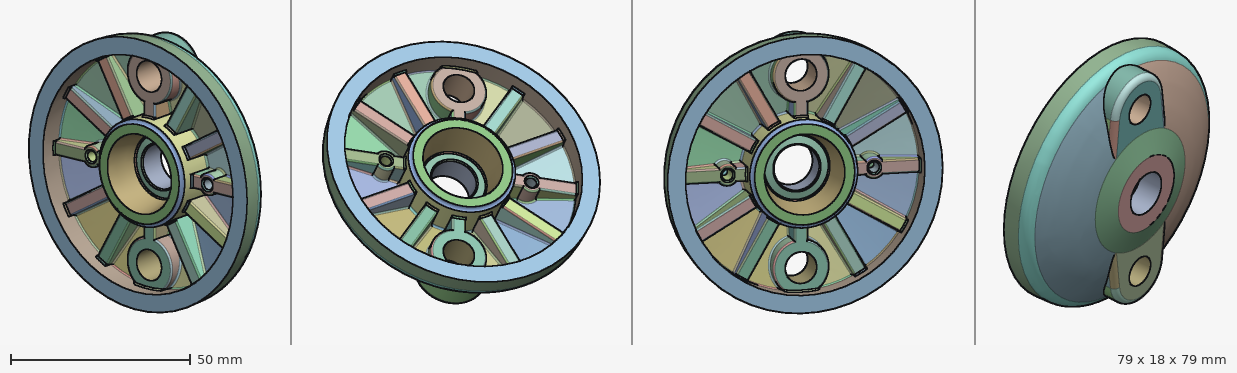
import cadquery as cq
import math


rim_radius = 39.5
rim_height = 5.1
rim_draft = math.radians(3)
shoulder_radius = 36.5
shoulder_height = 8.85
shoulder_bulge = (38.5, 7.35)
dome_bulge = (27.5, 13.3)
cone_radius = 18.9
boss_top = 15.7
crown_radius = 11.8
height = 18.0

recess_radius = 34.4
floor_edge_height = 7.1
floor_hub_height = 12.1

hub_radius = 15.5
hub_face = 0.6
hub_rounding = 1.1
bore_mouth_radius = 11.5
bore_end_radius = 9.55
bore_end = 10.0
bore_corner = 0.4
seat_rise = 0.7
hole_radius = 6.5
hole_lip = 0.4

boss_offset = 27.5
boss_radius = 10.5
boss_flare = math.radians(6)
boss_inner_offset = 9.5
boss_rounding = 1.8
mount_hole_radius = 4.5
mount_ring_radius = 8.05

rib_face = 4.9
rib_width = 4.0
rib_angle_step = 30
small_rounding = 0.5
post_offset = 21.0
post_radius = 3.15
pilot_mouth_radius = 1.6
pilot_end_radius = 1.0
pilot_depth = 4.75
pilot_chamfer = 0.5

floor_slope = (floor_hub_height - floor_edge_height) / (recess_radius - hub_radius)
sides = (1, -1)
tolerance = 0.01


def floor_height(radius):
    """Height of the conical recess floor at a given radius."""
    return floor_edge_height + floor_slope * (recess_radius - radius)


def turned(profile):
    """Revolve a (radius, y) profile about the Y axis."""
    return profile.close().revolve(360, (0, 0), (0, 1))


def cylinder(radius, y_start, y_end, x=0, z=0):
    """Cylinder along Y."""
    return cq.Workplane("XZ", origin=(x, y_start, z)).circle(radius).extrude(y_start - y_end)


def make_dome():
    """Solid dome: drafted rim, rounded shoulder, domed flank, conical crown."""
    rim_top_radius = rim_radius - rim_height * math.tan(rim_draft)
    return turned(
        cq.Workplane("XY")
        .lineTo(rim_radius, 0)
        .lineTo(rim_top_radius, rim_height)
        .threePointArc(shoulder_bulge, (shoulder_radius, shoulder_height))
        .threePointArc(dome_bulge, (cone_radius, boss_top))
        .lineTo(crown_radius, height)
        .lineTo(0, height)
    )


def make_boss(side):
    """Round-ended boss whose sides flare out towards the hub."""
    tangent_x = boss_radius * math.cos(boss_flare)
    tangent_z = boss_offset + boss_radius * math.sin(boss_flare)
    inner_x = tangent_x + (tangent_z - boss_inner_offset) * math.tan(boss_flare)
    boss = (
        cq.Workplane("XZ", origin=(0, boss_top, 0))
        .moveTo(-inner_x, side * boss_inner_offset)
        .lineTo(-tangent_x, side * tangent_z)
        .threePointArc((0, side * (boss_offset + boss_radius)), (tangent_x, side * tangent_z))
        .lineTo(inner_x, side * boss_inner_offset)
        .close()
        .extrude(boss_top - rim_height)
    )
    return boss.faces(">Y").edges().fillet(boss_rounding)


def lies_on_floor(edge):
    """True when both ends and the middle of the edge lie on the conical floor."""
    points = [edge.startPoint(), edge.positionAt(0.5), edge.endPoint()]
    return all(abs(point.y - floor_height(math.hypot(point.x, point.z))) < tolerance for point in points)


def make_ribs(face):
    """Radial ribs, screw posts and mounting rings, with sharp edges, filled from face to the back."""
    rib_height = height - face
    ribs = cq.Workplane("XY")
    for index in range(180 // rib_angle_step):
        bar = cq.Workplane("XY", origin=(0, face, 0)).box(
            2 * rim_radius, rib_height, rib_width, centered=(True, False, True)
        )
        ribs = ribs.union(bar.rotate((0, 0, 0), (0, 1, 0), index * rib_angle_step))
    for side in sides:
        ribs = ribs.union(cylinder(post_radius, face, height, x=side * post_offset))
        ribs = ribs.union(cylinder(mount_ring_radius, face, height, z=side * boss_offset))
    return ribs


def make_rib_end_rounding(end_radius, direction):
    """Fillets between the rib faces and the wall at end_radius.

    direction points from the wall into the recess: 1 at the hub, -1 at the rim.
    """
    reach = end_radius + direction * small_rounding
    ring = turned(
        cq.Workplane("XY")
        .moveTo(end_radius, rib_face + small_rounding)
        .lineTo(reach, rib_face + small_rounding)
        .lineTo(reach, rib_face)
        .radiusArc((end_radius, rib_face - small_rounding), direction * small_rounding)
    )
    return ring.intersect(make_ribs(rib_face - small_rounding))


def make_recess():
    """Annular recess with the ribs left standing and every floor edge rounded."""
    recess = turned(
        cq.Workplane("XY")
        .lineTo(recess_radius, 0)
        .lineTo(recess_radius, floor_edge_height)
        .lineTo(hub_radius, floor_hub_height)
        .lineTo(hub_radius, hub_face + hub_rounding)
        .radiusArc((hub_radius - hub_rounding, hub_face), -hub_rounding)
        .lineTo(0, hub_face)
    )
    rounded_ribs = make_ribs(rib_face).faces("<Y").edges().fillet(small_rounding)
    recess = recess.cut(rounded_ribs)
    recess = recess.cut(make_rib_end_rounding(hub_radius, 1)).cut(make_rib_end_rounding(recess_radius, -1))
    floor_edges = [edge for edge in recess.edges().vals() if lies_on_floor(edge)]
    return recess.newObject(floor_edges).fillet(small_rounding)


def make_bore():
    """Tapered hub bore ending in a raised seat, with a through hole."""
    seat_outer = bore_end_radius - bore_corner
    seat_inner = hole_radius + hole_lip
    seat_height = bore_end + bore_corner
    return turned(
        cq.Workplane("XY")
        .lineTo(bore_mouth_radius, 0)
        .lineTo(bore_mouth_radius, hub_face)
        .lineTo(bore_end_radius, bore_end)
        .lineTo(seat_outer, seat_height)
        .lineTo(seat_inner, seat_height - seat_rise)
        .lineTo(hole_radius, seat_height - seat_rise + hole_lip)
        .lineTo(hole_radius, height)
        .lineTo(0, height)
    )


def make_pilot_hole(x):
    """Blind, tapered screw hole with a chamfered mouth."""
    chamfer_end = rib_face + pilot_chamfer
    hole = turned(
        cq.Workplane("XY")
        .moveTo(0, rib_face)
        .lineTo(pilot_mouth_radius + pilot_chamfer, rib_face)
        .lineTo(pilot_mouth_radius, chamfer_end)
        .lineTo(pilot_end_radius, rib_face + pilot_depth)
        .lineTo(0, rib_face + pilot_depth)
    )
    return hole.translate((x, 0, 0))


body = make_dome()
for side in sides:
    body = body.union(make_boss(side))
body = body.cut(make_recess())
for side in sides:
    body = body.cut(cylinder(mount_hole_radius, 0, height, z=side * boss_offset))
    body = body.cut(make_pilot_hole(side * post_offset))
result = body.cut(make_bore()).solids()